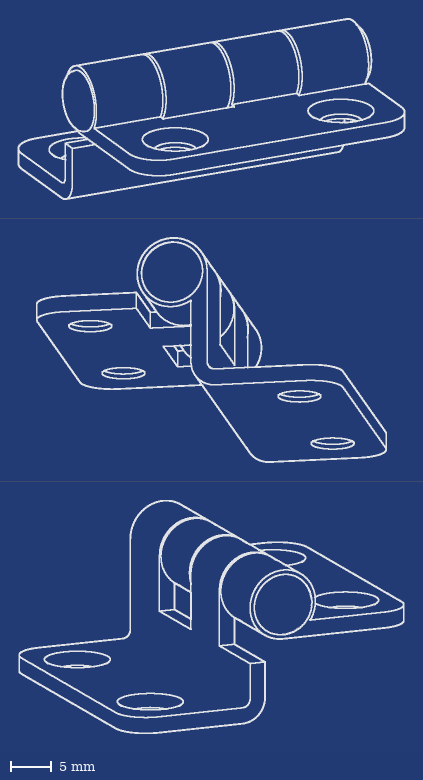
import cadquery as cq
import math

width = 38.0
length = 37.0
pin_length = 40.3
height = 18.85
thickness = 2.0
corner_radius = 4.0

knuckle_count = 4
knuckle_radius = 4.35
knuckle_gap = 0.45
bore_radius = knuckle_radius - thickness
head_radius = 3.8
head_height = (pin_length - length) / 2
axis_x = 20.5
axis_z = height - knuckle_radius

web_x = axis_x - knuckle_radius
web_inner_x = web_x + thickness
bend_inner_radius = 1.0
bend_outer_radius = bend_inner_radius + thickness
web_notch_z = 7.5

flat_bottom_z = axis_z - knuckle_radius
flat_notch_clearance = 0.1
flat_notch_x = axis_x + knuckle_radius + flat_notch_clearance

hole_diameter = 5.25
countersink_diameter = 8.05
countersink_angle = 90.0
hole_edge_distance = 6.0
hole_spacing = 22.52

knuckle_pitch = length / knuckle_count


def knuckle_span(index):
    """Y limits of one knuckle; the end knuckles are flush with the leaf edges."""
    start = -length / 2 + index * knuckle_pitch
    end = start + knuckle_pitch
    if index > 0:
        start += knuckle_gap / 2
    if index < knuckle_count - 1:
        end -= knuckle_gap / 2
    return start, end


def notch_span(index):
    """Y limits of the notch around the other leaf's knuckle, open at the leaf ends."""
    start, end = knuckle_span(index)
    return start - knuckle_gap, end + knuckle_gap


def y_cylinder(radius, start, end):
    """Cylinder on the hinge axis between two Y positions."""
    plane = cq.Plane(origin=(axis_x, start, axis_z), xDir=(1, 0, 0), normal=(0, 1, 0))
    return cq.Workplane(plane).circle(radius).extrude(end - start)


def box_between(x_range, y_range, z_range):
    """Box from its limits along each axis."""
    sizes = [high - low for low, high in (x_range, y_range, z_range)]
    corner = (x_range[0], y_range[0], z_range[0])
    return cq.Workplane("XY").box(*sizes, centered=False).translate(corner)


def add_knuckles(leaf, indices):
    """Join the knuckles to a leaf and bore them for the pin."""
    for index in indices:
        leaf = leaf.union(y_cylinder(knuckle_radius, *knuckle_span(index)))
    return leaf.cut(y_cylinder(bore_radius, -length / 2, length / 2))


def cut_screw_holes(leaf, x, top_z):
    """Two screw holes countersunk from the top face."""
    return (
        leaf.copyWorkplane(cq.Workplane("XY", origin=(x, 0, top_z)))
        .pushPoints([(0, -hole_spacing / 2), (0, hole_spacing / 2)])
        .cskHole(hole_diameter, countersink_diameter, countersink_angle, depth=thickness)
    )


def make_cranked_leaf(knuckles, notches):
    """Low plate bent up into a web that carries its knuckles on top."""
    inner_bend_x = web_x - bend_inner_radius
    bend_z = bend_outer_radius
    diagonal = math.sqrt(0.5)
    leaf = (
        cq.Workplane("XZ", origin=(0, length / 2, 0))
        .moveTo(0, 0)
        .lineTo(inner_bend_x, 0)
        .threePointArc(
            (inner_bend_x + bend_outer_radius * diagonal, bend_z - bend_outer_radius * diagonal),
            (web_inner_x, bend_z),
        )
        .lineTo(web_inner_x, axis_z)
        .lineTo(web_x, axis_z)
        .lineTo(web_x, bend_z)
        .threePointArc(
            (inner_bend_x + bend_inner_radius * diagonal, bend_z - bend_inner_radius * diagonal),
            (inner_bend_x, thickness),
        )
        .lineTo(0, thickness)
        .close()
        .extrude(length)
    )
    leaf = leaf.edges("|Z and <X").fillet(corner_radius)
    for index in notches:
        leaf = leaf.cut(box_between((web_x, web_inner_x), notch_span(index), (web_notch_z, height)))
    leaf = add_knuckles(leaf, knuckles)
    return cut_screw_holes(leaf, hole_edge_distance, thickness)


def make_flat_leaf(knuckles, notches):
    """Flat plate whose underside is tangent to its knuckles."""
    flat_top_z = flat_bottom_z + thickness
    plate_z = (flat_bottom_z, flat_top_z)
    leaf = box_between((axis_x, width), (-length / 2, length / 2), plate_z)
    leaf = leaf.edges("|Z and >X").fillet(corner_radius)
    for index in notches:
        leaf = leaf.cut(box_between((axis_x, flat_notch_x), notch_span(index), plate_z))
    leaf = add_knuckles(leaf, knuckles)
    return cut_screw_holes(leaf, width - hole_edge_distance, flat_top_z)


def make_pin():
    """Shaft with a half-ellipse domed head at each end, turned about the hinge axis."""
    shoulder = length / 2
    tip = pin_length / 2
    dome_quarter = math.sqrt(0.5)
    dome_mid = (head_radius * dome_quarter, shoulder + head_height * dome_quarter)
    half = (
        cq.Workplane("XY")
        .lineTo(bore_radius, 0)
        .lineTo(bore_radius, shoulder)
        .lineTo(head_radius, shoulder)
        .spline([dome_mid, (0, tip)], tangents=[(0, 1), (-1, 0)], includeCurrent=True)
        .close()
        .revolve(360, (0, 0), (0, 1))
    )
    return half.union(half.mirror("XZ")).translate((axis_x, 0, axis_z))


even_knuckles = range(0, knuckle_count, 2)
odd_knuckles = range(1, knuckle_count, 2)

cranked_leaf = make_cranked_leaf(odd_knuckles, even_knuckles)
flat_leaf = make_flat_leaf(even_knuckles, odd_knuckles)
pin = make_pin()

bodies = [cranked_leaf, flat_leaf, pin]
result = cq.Compound.makeCompound([body.solids().val() for body in bodies])